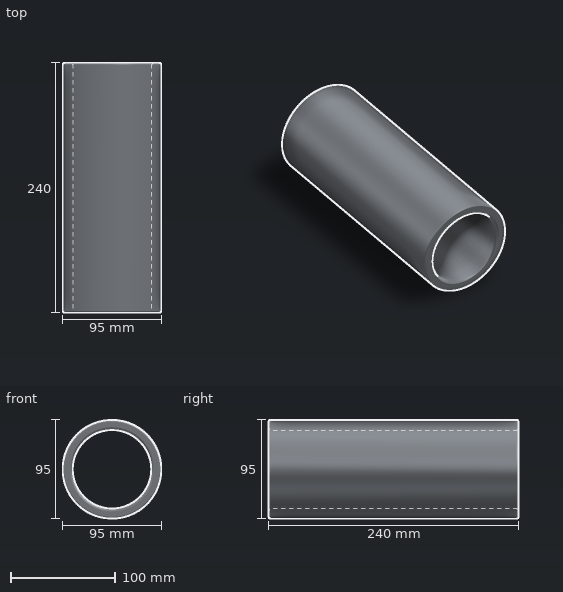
import cadquery as cq

length = 240.0
outer_diameter = 95.0
bore_diameter = 75.0
outer_edge_radius = 2.0
bore_edge_radius = 3.0

tube = (
    cq.Workplane("XZ", origin=(0, -length / 2, 0))
    .circle(outer_diameter / 2)
    .circle(bore_diameter / 2)
    .extrude(-length)
)

bore_rims = cq.selectors.RadiusNthSelector(0)
outer_rims = cq.selectors.RadiusNthSelector(-1)
tube = tube.edges("%CIRCLE").edges(bore_rims).fillet(bore_edge_radius)
result = tube.edges("%CIRCLE").edges(outer_rims).fillet(outer_edge_radius)